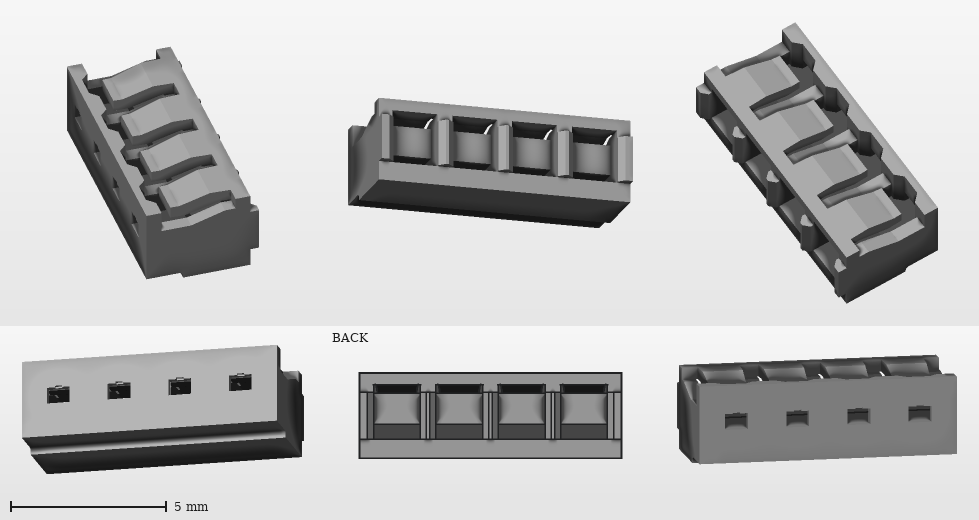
import cadquery as cq

length = 8.4
total_depth = 3.8
height = 2.75
cell_count = 4
pitch = 2.0

body_depth = 3.495
front_wall = 0.51
front_bottom = 0.21
foot_front = 1.235
foot_fillet = 0.15

rib_width = 0.495
rib_high = 2.37
rib_low = 2.025
rib_slope_front = 1.5
rib_slope_rear = 2.65

ridge_bottom = 0.62
ridge_top = 2.12
ridge_chamfer = 0.19

tongue_root = 3.0
tongue_root_width = 1.38
tongue_tip = 1.0
tongue_tip_width = 1.18
tongue_tip_top = 2.42
tongue_slope_front = 1.29
tongue_slope_rear = 2.31

bar_front = 1.77
bar_rear = 2.76
bar_rear_top = 2.09
bar_front_top = 1.76
bar_chamfer_top = 1.35
bar_chamfer_run = 0.18
bar_bottom = 1.1

front_floor = 1.3
rear_floor = ridge_bottom
cell_width = pitch - rib_width
recess_width = 1.26
recess_front = 0.25

window_width = 0.75
window_top = 1.82
notch_width = 0.235
notch_height = 0.05
notch_depth = 0.13

cell_centers = [(i - (cell_count - 1) / 2) * pitch for i in range(cell_count)]


def extrude_along_x(profile, center, width):
    """Extrude a closed (Y, Z) outline symmetrically about the given X."""
    plane = cq.Workplane("YZ", origin=(center, 0, 0))
    return plane.polyline(profile).close().extrude(width / 2, both=True)


def box(x_center, width, y_range, z_range):
    """Box centred on an X position, spanning the given Y and Z ranges."""
    depth = y_range[1] - y_range[0]
    rise = z_range[1] - z_range[0]
    corner = cq.Workplane("XY", origin=(x_center, y_range[0], z_range[0]))
    return corner.box(width, depth, rise, centered=(True, False, False))


def make_body():
    """Full-length body whose top follows the rib profile."""
    body = extrude_along_x(
        [
            (0, front_bottom),
            (foot_front, front_bottom),
            (foot_front, 0),
            (body_depth, 0),
            (body_depth, height),
            (tongue_root, height),
            (tongue_root, rib_high),
            (rib_slope_rear, rib_high),
            (rib_slope_front, rib_low),
            (front_wall, rib_low),
            (front_wall, height),
            (0, height),
        ],
        0,
        length,
    )
    inner_corner = cq.selectors.NearestToPointSelector((0, foot_front, front_bottom))
    return body.edges(inner_corner).fillet(foot_fillet)


def make_mouth_cut(center):
    """Gap between two guide ridges, flaring outwards at the rear."""
    half = cell_width / 2
    flared_half = half + ridge_chamfer
    flare_start = total_depth - ridge_chamfer
    return (
        cq.Workplane("XY", origin=(center, 0, ridge_bottom))
        .moveTo(-half, body_depth)
        .lineTo(-half, flare_start)
        .lineTo(-flared_half, total_depth)
        .lineTo(flared_half, total_depth)
        .lineTo(half, flare_start)
        .lineTo(half, body_depth)
        .close()
        .extrude(ridge_top - ridge_bottom)
    )


def make_cell_cut(center):
    """Terminal cell: raised floor at the front, deeper floor and opening at the rear."""
    front_part = box(center, cell_width, (front_wall, tongue_root), (front_floor, height))
    rear_part = box(center, cell_width, (bar_front, body_depth), (rear_floor, rib_high))
    recess_half = recess_width / 2
    recess_inner_half = recess_half - (front_wall - recess_front)
    recess = (
        cq.Workplane("XY", origin=(center, 0, front_floor))
        .moveTo(-recess_half, front_wall)
        .lineTo(-recess_inner_half, recess_front)
        .lineTo(recess_inner_half, recess_front)
        .lineTo(recess_half, front_wall)
        .close()
        .extrude(height - front_floor)
    )
    return front_part.union(rear_part).union(recess)


def make_window_cut(center):
    """Probe window through the front wall with a small notch in its top edge."""
    window = box(center, window_width, (0, recess_front), (front_floor, window_top))
    notch = box(center, notch_width, (0, notch_depth), (window_top, window_top + notch_height))
    return window.union(notch)


def make_tongue(center):
    """Bent tongue reaching forward from the rear wall, its underside level with the rib tops."""
    profile = [
        (tongue_root, height),
        (tongue_slope_rear, height),
        (tongue_slope_front, tongue_tip_top),
        (tongue_tip, tongue_tip_top),
        (tongue_tip, rib_low),
        (rib_slope_front, rib_low),
        (rib_slope_rear, rib_high),
        (tongue_root, rib_high),
    ]
    slab = extrude_along_x(profile, center, tongue_root_width)
    root_half = tongue_root_width / 2
    tip_half = tongue_tip_width / 2
    plan = (
        cq.Workplane("XY", origin=(center, 0, 0))
        .moveTo(-root_half, tongue_root)
        .lineTo(-tip_half, tongue_tip)
        .lineTo(tip_half, tongue_tip)
        .lineTo(root_half, tongue_root)
        .close()
        .extrude(height)
    )
    return slab.intersect(plan)


def make_bar(center):
    """Latch bar spanning the cell below the tongue, with a sloped top and undercut front."""
    profile = [
        (bar_rear, bar_rear_top),
        (bar_front, bar_front_top),
        (bar_front, bar_chamfer_top),
        (bar_front + bar_chamfer_run, bar_bottom),
        (bar_rear, bar_bottom),
    ]
    return extrude_along_x(profile, center, cell_width)


ridge_band = box(0, length, (body_depth, total_depth), (ridge_bottom, ridge_top))
result = make_body().union(ridge_band)
for cell_x in cell_centers:
    for cut in (make_mouth_cut, make_cell_cut, make_window_cut):
        result = result.cut(cut(cell_x))
    result = result.union(make_tongue(cell_x)).union(make_bar(cell_x))